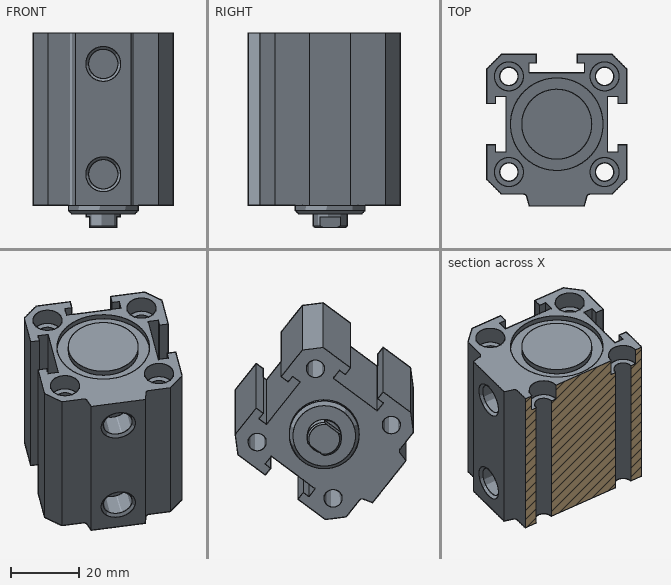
import cadquery as cq
import math

width = 41.0
half_width = width / 2
height = 50.5
corner_chamfer = 4.35

ridge_height = 3.5
ridge_root_width = 18.0
ridge_flank_angle = 15.0
ridge_root_radius = 1.0

slot_opening = 12.0
slot_inner_width = 16.2
slot_lip = 2.6
side_slot_depth = 5.6
back_slot_depth = 5.4

mount_pitch = 28.0
mount_hole_diameter = 5.3
counterbore_diameter = 8.5
counterbore_depth = 5.4

port_diameter = 8.57
port_mouth_diameter = 10.2
port_depth = 8.0
port_end_distance = 9.1

ring_outer_diameter = 27.1
ring_depth = 1.65

collar_diameter = 20.5
collar_height = 2.6
collar_chamfer = 1.1

rod_diameter = 10.0
rod_projection = 3.9
rod_chamfer = 0.5
rod_flat_width = 8.0
rod_flat_gap = 0.8


def housing_block():
    block = (
        cq.Workplane("XY")
        .rect(width, width)
        .extrude(height)
        .edges("|Z")
        .chamfer(corner_chamfer)
    )
    return block.union(port_ridge())


def port_ridge():
    """Trapezoid ridge whose flanks run into the -Y face through concave arcs."""
    flank = math.radians(ridge_flank_angle)
    root = ridge_root_width / 2
    tip = root - ridge_height * math.tan(flank)
    face_y = -half_width
    tip_y = face_y - ridge_height

    turn = math.pi / 2 - flank
    tangent_length = ridge_root_radius * math.tan(turn / 2)
    arc_start_x = root + tangent_length
    arc_end_x = root - tangent_length * math.sin(flank)
    arc_end_y = face_y - tangent_length * math.cos(flank)
    arc_mid_x = arc_start_x - ridge_root_radius * math.sin(turn / 2)
    arc_mid_y = face_y - ridge_root_radius * (1 - math.cos(turn / 2))

    return (
        cq.Workplane("XY")
        .moveTo(arc_start_x, 0)
        .lineTo(arc_start_x, face_y)
        .threePointArc((arc_mid_x, arc_mid_y), (arc_end_x, arc_end_y))
        .lineTo(tip, tip_y)
        .lineTo(-tip, tip_y)
        .lineTo(-arc_end_x, arc_end_y)
        .threePointArc((-arc_mid_x, arc_mid_y), (-arc_start_x, face_y))
        .lineTo(-arc_start_x, 0)
        .close()
        .extrude(height)
    )


def t_slot(depth, angle):
    """T-slot of the +X face, turned about the Z axis by the angle."""
    opening = cq.Workplane("XY").box(depth, slot_opening, height, centered=(False, True, False))
    inner = (
        cq.Workplane("XY")
        .box(depth - slot_lip, slot_inner_width, height, centered=(False, True, False))
    )
    slot = opening.union(inner).translate((half_width - depth, 0, 0))
    return slot.rotate((0, 0, 0), (0, 0, 1), angle)


def port(z):
    """Blind port with a 45 degree countersunk mouth, bored from the ridge in +Y."""
    mouth_radius = port_mouth_diameter / 2
    bore_radius = port_diameter / 2
    mouth_depth = mouth_radius - bore_radius
    ridge_y = -half_width - ridge_height
    return (
        cq.Workplane("XY")
        .moveTo(0, 0)
        .lineTo(mouth_radius, 0)
        .lineTo(bore_radius, mouth_depth)
        .lineTo(bore_radius, port_depth)
        .lineTo(0, port_depth)
        .close()
        .revolve(360, (0, 0, 0), (0, 1, 0))
        .translate((0, ridge_y, z))
    )


def ring_recess():
    return (
        cq.Workplane("XY", origin=(0, 0, height))
        .circle(ring_outer_diameter / 2)
        .circle(collar_diameter / 2)
        .extrude(-ring_depth)
    )


def collar():
    return (
        cq.Workplane("XY")
        .circle(collar_diameter / 2)
        .extrude(-collar_height)
        .faces("<Z")
        .chamfer(collar_chamfer)
    )


def make_housing():
    body = housing_block()
    for depth, angle in ((side_slot_depth, 0), (back_slot_depth, 90), (side_slot_depth, 180)):
        body = body.cut(t_slot(depth, angle))
    body = (
        body.faces(">Z")
        .workplane(origin=(0, 0, height))
        .rect(mount_pitch, mount_pitch, forConstruction=True)
        .vertices()
        .cboreHole(mount_hole_diameter, counterbore_diameter, counterbore_depth)
    )
    for z in (port_end_distance, height - port_end_distance):
        body = body.cut(port(z))
    body = body.cut(ring_recess()).union(collar())
    rod_seat = cq.Workplane("XY").circle(rod_diameter / 2).extrude(-collar_height)
    return body.cut(rod_seat)


def make_piston_rod():
    """Round rod with a chamfered end and two flats facing -X and +X."""
    rod_length = collar_height + rod_projection
    flats_length = rod_projection - rod_flat_gap
    rod = (
        cq.Workplane("XY")
        .circle(rod_diameter / 2)
        .extrude(-rod_length)
        .faces("<Z")
        .chamfer(rod_chamfer)
    )
    flats_waste = (
        cq.Workplane("XY", origin=(0, 0, -rod_length))
        .rect(2 * rod_diameter, 2 * rod_diameter)
        .rect(rod_flat_width, 2 * rod_diameter)
        .extrude(flats_length)
    )
    return rod.cut(flats_waste)


housing = make_housing()
piston_rod = make_piston_rod()
result = cq.Compound.makeCompound([housing.val(), piston_rod.val()])